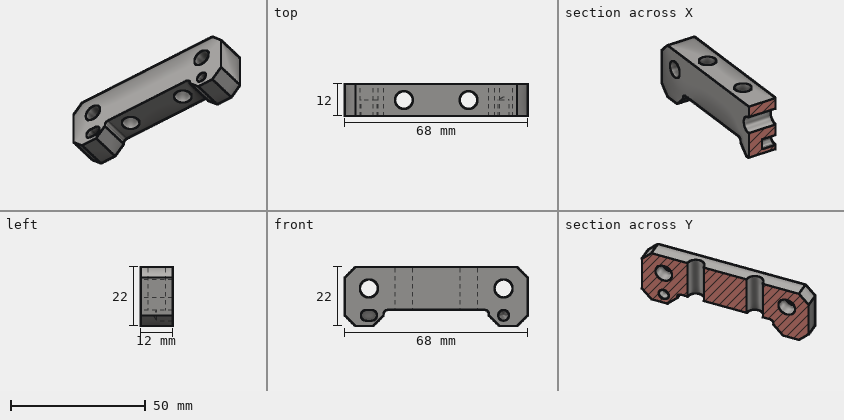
import cadquery as cq
import math

length = 68.0
thickness = 12.0
height = 22.0
corner_chamfer = 4.0

notch_width = 39.0
notch_height = 6.0
notch_fillet = 1.5

cross_hole_diameter = 6.6
end_offset = 9.0
cross_hole_drop = 8.0

vertical_hole_diameter = 6.5
vertical_hole_spacing = 24.0

pin_diameter = 4.0
pin_depth = 6.0
drill_point_angle = 118.0
slot_length = 6.0
recess_height = 4.0

front_y = -thickness / 2
feature_x = length / 2 - end_offset
cross_hole_z = height - cross_hole_drop


def make_body():
    """Chamfered block with a notch between two chamfered feet."""
    block = cq.Workplane("XY").box(length, thickness, height, centered=(True, True, False))
    block = block.edges("|Y").chamfer(corner_chamfer)
    notch = cq.Workplane("XY").box(notch_width, thickness, notch_height, centered=(True, True, False))
    notch = notch.edges("|Y and >Z").fillet(notch_fillet)
    return block.cut(notch).cut(make_notch_mouth())


def make_notch_mouth():
    """Trapezoid that chamfers the inner corners of both feet."""
    half_top = notch_width / 2
    half_bottom = half_top + corner_chamfer
    return (
        cq.Workplane("XZ", origin=(0, thickness / 2, 0))
        .moveTo(-half_bottom, 0)
        .lineTo(half_bottom, 0)
        .lineTo(half_top, corner_chamfer)
        .lineTo(-half_top, corner_chamfer)
        .close()
        .extrude(thickness)
    )


def front_plane(x, z):
    """Workplane on the front face whose positive direction runs into the part."""
    return cq.Workplane(cq.Plane(origin=(x, front_y, z), xDir=(1, 0, 0), normal=(0, 1, 0)))


def make_cross_hole(x):
    return front_plane(x, cross_hole_z).circle(cross_hole_diameter / 2).extrude(thickness)


def make_vertical_hole(x):
    return cq.Workplane("XY").center(x, 0).circle(vertical_hole_diameter / 2).extrude(height)


def make_pin_hole():
    """Blind round hole with a conical drill point, revolved about its axis."""
    radius = pin_diameter / 2
    point_length = radius / math.tan(math.radians(drill_point_angle / 2))
    return (
        cq.Workplane("XY", origin=(feature_x, front_y, recess_height))
        .lineTo(radius, 0)
        .lineTo(radius, pin_depth)
        .lineTo(0, pin_depth + point_length)
        .close()
        .revolve(360, (0, 0, 0), (0, 1, 0))
    )


def make_pin_slot():
    """Blind flat-bottomed slot, as wide as the pin hole."""
    return front_plane(-feature_x, recess_height).slot2D(slot_length, pin_diameter).extrude(pin_depth)


result = make_body()
for side in (-1, 1):
    result = result.cut(make_cross_hole(side * feature_x))
    result = result.cut(make_vertical_hole(side * vertical_hole_spacing / 2))
result = result.cut(make_pin_hole()).cut(make_pin_slot())